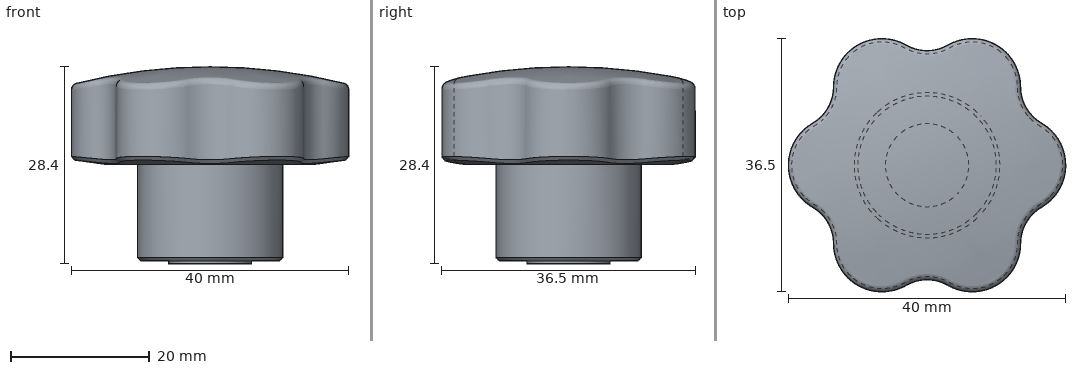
import cadquery as cq
import math

total_height = 28.4
insert_protrusion = 0.4
head_bottom = 14.28

stem_diameter = 21.0
stem_chamfer = 0.5
insert_diameter = 12.0

lobe_count = 6
head_radius = 20.0
lobe_radius = 7.0
valley_depth_radius = 16.5

crown_edge_height = 25.85
underside_flat_radius = 14.8
underside_rise = 0.7
trim_allowance = 2.0
top_fillet = 1.0
bottom_chamfer = 0.48
rim_band_half_height = 2.0
flat_clearance = 0.05

lobe_pitch = 2 * math.pi / lobe_count
lobe_center_radius = head_radius - lobe_radius
lobe_along_valley = lobe_center_radius * math.cos(lobe_pitch / 2)
lobe_beside_valley = lobe_center_radius * math.sin(lobe_pitch / 2)
valley_gap = valley_depth_radius - lobe_along_valley
valley_radius = (lobe_beside_valley**2 + valley_gap**2 - lobe_radius**2) / (2 * (lobe_radius - valley_gap))
valley_center_radius = valley_depth_radius + valley_radius


def polar(radius, angle):
    return (radius * math.cos(angle), radius * math.sin(angle))


def tangent_point(lobe_angle, valley_angle):
    """Point where a lobe arc meets the neighbouring valley arc."""
    lobe = polar(lobe_center_radius, lobe_angle)
    valley = polar(valley_center_radius, valley_angle)
    share = lobe_radius / (lobe_radius + valley_radius)
    return tuple(a + share * (b - a) for a, b in zip(lobe, valley))


def lobed_outline():
    """Closed outline of alternating lobe and valley arcs."""
    outline = cq.Workplane("XY").moveTo(*tangent_point(0, -lobe_pitch / 2))
    for i in range(lobe_count):
        lobe_angle = i * lobe_pitch
        valley_angle = lobe_angle + lobe_pitch / 2
        next_lobe_angle = lobe_angle + lobe_pitch
        outline = outline.threePointArc(
            polar(head_radius, lobe_angle), tangent_point(lobe_angle, valley_angle)
        ).threePointArc(
            polar(valley_depth_radius, valley_angle), tangent_point(next_lobe_angle, valley_angle)
        )
    return outline.close()


def head_envelope():
    """Turned body with the spherical crown and the conical underside."""
    crown_drop = total_height - crown_edge_height
    crown_radius = (head_radius**2 + crown_drop**2) / (2 * crown_drop)
    rim_radius = head_radius + trim_allowance
    middle_radius = rim_radius / 2

    def crown_height(radius):
        return total_height - crown_radius + math.sqrt(crown_radius**2 - radius**2)

    underside_slope = underside_rise / (head_radius - underside_flat_radius)
    rim_bottom = head_bottom + underside_slope * (rim_radius - underside_flat_radius)
    return (
        cq.Workplane("XZ")
        .moveTo(0, head_bottom)
        .lineTo(underside_flat_radius, head_bottom)
        .lineTo(rim_radius, rim_bottom)
        .lineTo(rim_radius, crown_height(rim_radius))
        .threePointArc((middle_radius, crown_height(middle_radius)), (0, total_height))
        .close()
        .revolve(360, (0, 0, 0), (0, 1, 0))
    )


def rim_edges(lower, upper):
    """Selector for the outline edges between two heights."""
    return cq.selectors.BoxSelector(
        (-head_radius, -head_radius, lower),
        (head_radius, head_radius, upper),
    )


def make_head():
    """Lobed head with a rounded upper rim and a chamfered lower rim."""
    head = lobed_outline().extrude(total_height).intersect(head_envelope())
    middle_height = (head_bottom + crown_edge_height) / 2
    top_rim = rim_edges(middle_height + rim_band_half_height, total_height)
    bottom_rim = rim_edges(head_bottom + flat_clearance, middle_height - rim_band_half_height)
    return head.edges(top_rim).fillet(top_fillet).edges(bottom_rim).chamfer(bottom_chamfer)


def make_stem():
    """Chamfered stem with the insert standing proud of its lower end."""
    stem = (
        cq.Workplane("XY")
        .workplane(offset=insert_protrusion)
        .circle(stem_diameter / 2)
        .extrude(head_bottom - insert_protrusion)
        .faces("<Z")
        .chamfer(stem_chamfer)
    )
    insert = cq.Workplane("XY").circle(insert_diameter / 2).extrude(head_bottom)
    return stem.union(insert)


result = make_head().union(make_stem())